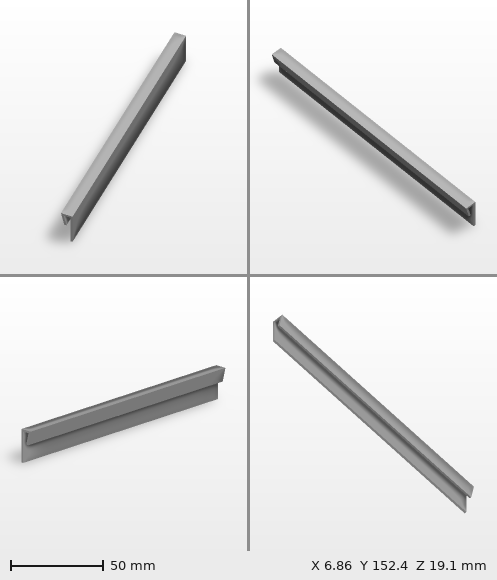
import cadquery as cq
import math

WIDTH = 6.86
LENGTH = 152.4
HEIGHT = 19.05

THICKNESS = 1.27
LIP_LENGTH = 8.5
LIP_ANGLE = 14.0

lip_sin = math.sin(math.radians(LIP_ANGLE))
lip_cos = math.cos(math.radians(LIP_ANGLE))
lip_tan = math.tan(math.radians(LIP_ANGLE))

left = -WIDTH / 2
right = WIDTH / 2
bottom = -HEIGHT / 2
top = HEIGHT / 2
leg_inner = right - THICKNESS
web_under = top - THICKNESS

lip_outer_end = (left + LIP_LENGTH * lip_sin, top - LIP_LENGTH * lip_cos)
lip_inner_end = (
    lip_outer_end[0] + THICKNESS * lip_cos,
    lip_outer_end[1] + THICKNESS * lip_sin,
)
lip_inner_root = (left + THICKNESS / lip_cos + THICKNESS * lip_tan, web_under)


def clip_section():
    """Closed outline of the clip: long leg, top web and inclined lip."""
    return (
        cq.Workplane("XZ")
        .moveTo(left, top)
        .lineTo(right, top)
        .lineTo(right, bottom)
        .lineTo(leg_inner, bottom)
        .lineTo(leg_inner, web_under)
        .lineTo(*lip_inner_root)
        .lineTo(*lip_inner_end)
        .lineTo(*lip_outer_end)
        .close()
    )


result = clip_section().extrude(LENGTH / 2, both=True)